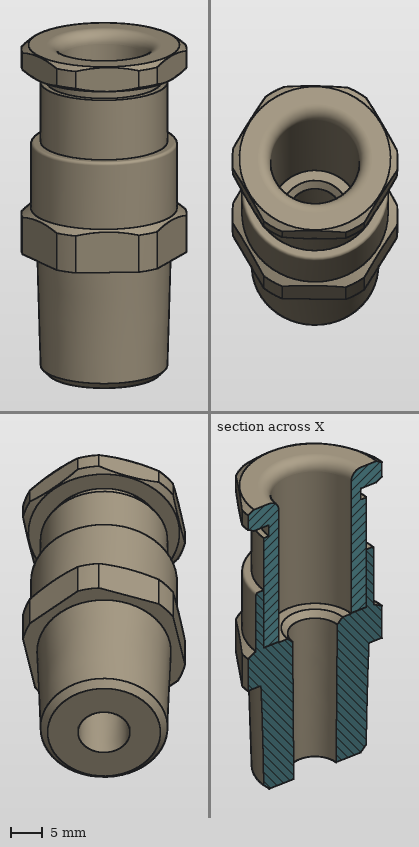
import cadquery as cq
import math

total_height = 53.75
thread_length = 20.0
hex_height = 6.95
socket_height = 10.95
shank_gap = 9.8
neck_height = 2.0

hex_top = thread_length + hex_height
socket_top = hex_top + socket_height
neck_bottom = socket_top + shank_gap
head_bottom = neck_bottom + neck_height
socket_floor = hex_top

across_flats = 24.0
across_rounded_corners = 26.0
corner_radius = across_rounded_corners / 2
hex_bevel_angle = math.radians(30)
head_face_radius = 11.9

neck_radius = 9.0
shank_radius = 10.0
nut_bore_radius = 7.0
mouth_fillet = 2.0

socket_outer_radius = 11.5
socket_rim_fillet = 0.5
thread_top_radius = 10.55
thread_end_radius = 10.0
thread_end_chamfer = 1.15
seat_outer_radius = 5.3
seat_inner_radius = 4.3
seat_depth = seat_outer_radius - seat_inner_radius
bore_end_radius = 4.1


def turned(points):
    """Solid of revolution about Z from a closed (radius, height) outline."""
    return cq.Workplane("XZ").polyline(points).close().revolve(360, (0, 0, 0), (0, 1, 0))


def bevel_drop(face_radius):
    """Height lost by the bevel between the face circle and the rounded corners."""
    return (corner_radius - face_radius) * math.tan(hex_bevel_angle)


def hexagon(bottom, top):
    """Hexagonal prism with two flats facing +X and -X."""
    corner_distance = across_flats / math.cos(math.radians(30))
    return (
        cq.Workplane("XY", origin=(0, 0, bottom))
        .polygon(6, corner_distance)
        .extrude(top - bottom)
        .rotate((0, 0, 0), (0, 0, 1), 30)
    )


def make_gland_nut():
    drop = bevel_drop(head_face_radius)
    head_envelope = turned([
        (0, head_bottom),
        (head_face_radius, head_bottom),
        (corner_radius, head_bottom + drop),
        (corner_radius, total_height - drop),
        (head_face_radius, total_height),
        (0, total_height),
    ])
    head = hexagon(head_bottom, total_height).intersect(head_envelope)
    stem = turned([
        (0, socket_floor),
        (shank_radius, socket_floor),
        (shank_radius, neck_bottom),
        (neck_radius, neck_bottom),
        (neck_radius, head_bottom),
        (0, head_bottom),
    ])
    bore = (
        cq.Workplane("XY", origin=(0, 0, socket_floor))
        .circle(nut_bore_radius)
        .extrude(total_height - socket_floor)
    )
    bored_nut = head.union(stem).cut(bore)
    bore_mouth = cq.selectors.RadiusNthSelector(0)
    return bored_nut.faces(">Z").edges(bore_mouth).fillet(mouth_fillet)


def make_body():
    drop = bevel_drop(socket_outer_radius)
    hex_envelope = turned([
        (0, thread_length),
        (corner_radius, thread_length),
        (corner_radius, hex_top - drop),
        (socket_outer_radius, hex_top),
        (0, hex_top),
    ])
    hex_section = hexagon(thread_length, hex_top).intersect(hex_envelope)
    tapered_thread = turned([
        (0, 0),
        (thread_end_radius - thread_end_chamfer, 0),
        (thread_end_radius, thread_end_chamfer),
        (thread_top_radius, thread_length),
        (0, thread_length),
    ])
    socket = (
        cq.Workplane("XY", origin=(0, 0, hex_top))
        .circle(socket_outer_radius)
        .extrude(socket_height)
        .faces(">Z")
        .edges()
        .fillet(socket_rim_fillet)
    )
    cavity = turned([
        (0, 0),
        (bore_end_radius, 0),
        (seat_inner_radius, socket_floor - seat_depth),
        (seat_outer_radius, socket_floor),
        (shank_radius, socket_floor),
        (shank_radius, socket_top),
        (0, socket_top),
    ])
    return tapered_thread.union(hex_section).union(socket).cut(cavity)


gland_nut = make_gland_nut()
body = make_body()

result = cq.Compound.makeCompound([gland_nut.val(), body.val()])